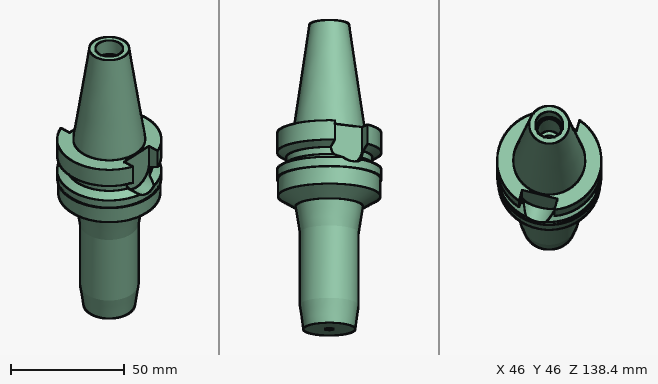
import cadquery as cq
import math


TAPER_LENGTH = 48.4
TAPER_RATIO = 7 / 24
GAUGE_RADIUS = 31.75 / 2
TAPER_END_RADIUS = GAUGE_RADIUS - TAPER_LENGTH * TAPER_RATIO / 2

FLANGE_TOP_Z = -0.9
FLANGE_RADIUS = 23.0
UPPER_RIM_HEIGHT = 8.8
GROOVE_ROOT_RADIUS = 19.0
GROOVE_ROOT_WIDTH = 3.2
GROOVE_FLANK_ANGLE = 30
LOWER_RIM_HEIGHT = 4.2
GROOVE_DEPTH = FLANGE_RADIUS - GROOVE_ROOT_RADIUS
GROOVE_FLANK_HEIGHT = GROOVE_DEPTH * math.tan(math.radians(GROOVE_FLANK_ANGLE))

COLLAR_RADIUS = 22.6
COLLAR_HEIGHT = 7.9
COLLAR_CONE_HEIGHT = 4.7

NOSE_TIP_Z = -90.0
NECK_TOP_RADIUS = 14.9
SHANK_RADIUS = 13.0
SHANK_TOP_Z = -46.3
NOSE_LENGTH = 10.8
NOSE_TIP_RADIUS = 11.5

SLOT_WIDTH = 16.1
SLOT_FLOOR_DISTANCE = 16.3
SLOT_DEPTH = 18.0

PILOT_RADIUS = 6.1
PILOT_DEPTH = 7.4
THREAD_RADIUS = 5.15
THREAD_END_DEPTH = 24.0
RELIEF_RADIUS = 3.1
RELIEF_END_DEPTH = 34.0
COOLANT_RADIUS = 1.9


def make_body():
    """Revolve the outer profile about the Z axis."""
    groove_top_z = FLANGE_TOP_Z - UPPER_RIM_HEIGHT
    root_top_z = groove_top_z - GROOVE_FLANK_HEIGHT
    root_bottom_z = root_top_z - GROOVE_ROOT_WIDTH
    groove_bottom_z = root_bottom_z - GROOVE_FLANK_HEIGHT
    collar_top_z = groove_bottom_z - LOWER_RIM_HEIGHT
    collar_bottom_z = collar_top_z - COLLAR_HEIGHT
    neck_top_z = collar_bottom_z - COLLAR_CONE_HEIGHT
    profile = [
        (0, TAPER_LENGTH),
        (TAPER_END_RADIUS, TAPER_LENGTH),
        (GAUGE_RADIUS, 0),
        (GAUGE_RADIUS, FLANGE_TOP_Z),
        (FLANGE_RADIUS, FLANGE_TOP_Z),
        (FLANGE_RADIUS, groove_top_z),
        (GROOVE_ROOT_RADIUS, root_top_z),
        (GROOVE_ROOT_RADIUS, root_bottom_z),
        (FLANGE_RADIUS, groove_bottom_z),
        (FLANGE_RADIUS, collar_top_z),
        (COLLAR_RADIUS, collar_top_z),
        (COLLAR_RADIUS, collar_bottom_z),
        (NECK_TOP_RADIUS, neck_top_z),
        (SHANK_RADIUS, SHANK_TOP_Z),
        (SHANK_RADIUS, NOSE_TIP_Z + NOSE_LENGTH),
        (NOSE_TIP_RADIUS, NOSE_TIP_Z),
        (0, NOSE_TIP_Z),
    ]
    return cq.Workplane("XZ").polyline(profile).close().revolve(360, (0, 0), (0, 1))


def make_drive_slot(side):
    """Cutter for one round-ended slot; side is -1 or +1 along X."""
    round_radius = SLOT_WIDTH / 2
    round_center_z = FLANGE_TOP_Z - SLOT_DEPTH + round_radius
    cutter = (
        cq.Workplane("YZ")
        .moveTo(-round_radius, FLANGE_TOP_Z)
        .lineTo(-round_radius, round_center_z)
        .threePointArc((0, FLANGE_TOP_Z - SLOT_DEPTH), (round_radius, round_center_z))
        .lineTo(round_radius, FLANGE_TOP_Z)
        .close()
        .extrude(side * FLANGE_RADIUS)
    )
    return cutter.translate((side * SLOT_FLOOR_DISTANCE, 0, 0))


def make_bores():
    """Cutter for the stepped axial hole that runs through the part."""
    total_length = TAPER_LENGTH - NOSE_TIP_Z
    steps = [
        (PILOT_RADIUS, PILOT_DEPTH),
        (THREAD_RADIUS, THREAD_END_DEPTH),
        (RELIEF_RADIUS, RELIEF_END_DEPTH),
        (COOLANT_RADIUS, total_length),
    ]
    mouth = cq.Workplane("XY").workplane(offset=TAPER_LENGTH)
    cutter = None
    for radius, depth in steps:
        bore = mouth.circle(radius).extrude(-depth)
        cutter = bore if cutter is None else cutter.union(bore)
    return cutter


result = make_body()
for slot_side in (-1, 1):
    result = result.cut(make_drive_slot(slot_side))
result = result.cut(make_bores())